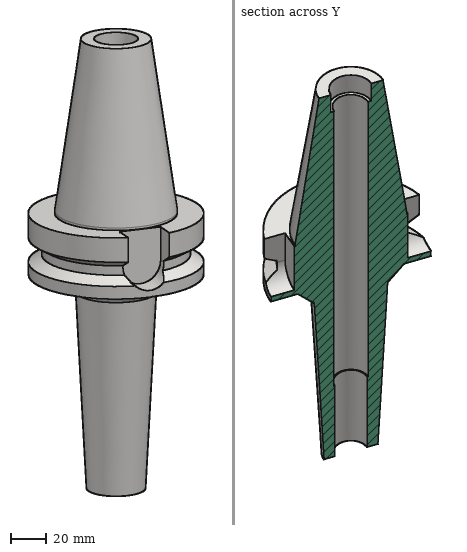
import cadquery as cq
import math

total_length = 266.8

taper_length = 102.0
gauge_diameter = 70.0
taper_ratio = 7 / 24
gauge_z = total_length - taper_length
taper_end_diameter = gauge_diameter - taper_ratio * taper_length

flange_diameter = 100.0
flange_gap = 1.5
flange_thickness = 36.3
flange_top_z = gauge_z - flange_gap
flange_bottom_z = flange_top_z - flange_thickness
upper_lip = 14.5
lower_lip = 7.5
groove_root_diameter = 84.8
groove_flank_angle = 30.0
groove_flank = (flange_diameter - groove_root_diameter) / 2 * math.tan(math.radians(groove_flank_angle))

nose_tip_diameter = 34.0
nose_half_angle = 3.0
collar_diameter = 66.5
collar_height = 10.1
nose_length = flange_bottom_z - collar_height
nose_root_radius = nose_tip_diameter / 2 + nose_length * math.tan(math.radians(nose_half_angle))

tool_bore_diameter = 20.0
tool_bore_depth = 52.0
clearance_diameter = 21.0
counterbore_diameter = 25.0
counterbore_depth = 12.8

slot_width = 25.3
slot_height = 32.3
slot_floor_x = 35.5


def make_body():
    """Revolve the outer profile of nose, flange and taper."""
    flange_radius = flange_diameter / 2
    root_radius = groove_root_diameter / 2
    groove_top_z = flange_top_z - upper_lip
    groove_bottom_z = flange_bottom_z + lower_lip
    profile = [
        (0, 0),
        (nose_tip_diameter / 2, 0),
        (nose_root_radius, nose_length),
        (collar_diameter / 2, flange_bottom_z),
        (flange_radius, flange_bottom_z),
        (flange_radius, groove_bottom_z),
        (root_radius, groove_bottom_z + groove_flank),
        (root_radius, groove_top_z - groove_flank),
        (flange_radius, groove_top_z),
        (flange_radius, flange_top_z),
        (gauge_diameter / 2, flange_top_z),
        (gauge_diameter / 2, gauge_z),
        (taper_end_diameter / 2, total_length),
        (0, total_length),
    ]
    return cq.Workplane("XZ").polyline(profile).close().revolve(360, (0, 0), (0, 1))


def bore_section(diameter, bottom_z, top_z):
    """Cylinder on the axis between two heights."""
    return cq.Workplane("XY").workplane(offset=bottom_z).circle(diameter / 2).extrude(top_z - bottom_z)


def drive_slot(side):
    """Cutter for the slot on the +X (side = 1) or -X (side = -1) edge of the flange."""
    half_width = slot_width / 2
    arc_center_z = flange_top_z - slot_height + half_width
    cut_length = flange_diameter / 2 - slot_floor_x
    return (
        cq.Workplane("YZ", origin=(side * slot_floor_x, 0, 0))
        .moveTo(-half_width, flange_top_z)
        .lineTo(-half_width, arc_center_z)
        .threePointArc((0, arc_center_z - half_width), (half_width, arc_center_z))
        .lineTo(half_width, flange_top_z)
        .close()
        .extrude(side * cut_length)
    )


result = make_body()
counterbore_z = total_length - counterbore_depth
result = result.cut(bore_section(tool_bore_diameter, 0, tool_bore_depth))
result = result.cut(bore_section(clearance_diameter, tool_bore_depth, counterbore_z))
result = result.cut(bore_section(counterbore_diameter, counterbore_z, total_length))
for side in (-1, 1):
    result = result.cut(drive_slot(side))